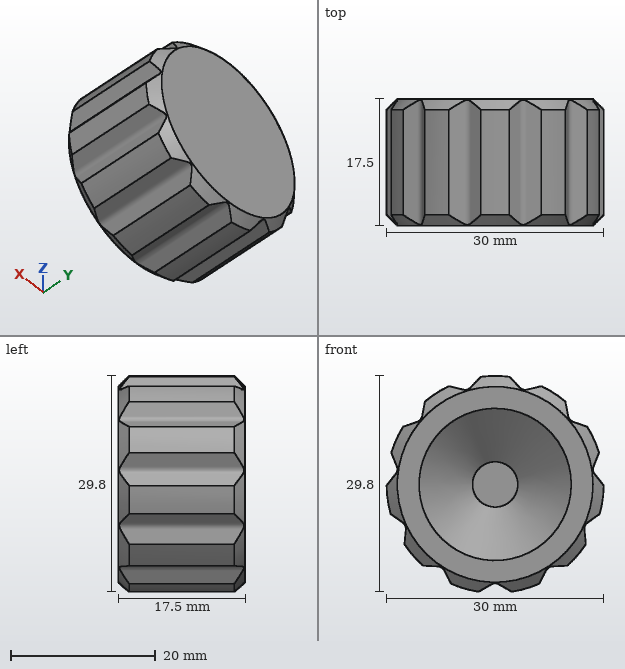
import cadquery as cq
import math

outer_radius = 15.0
length = 17.5
edge_chamfer = 1.5

groove_count = 11
groove_apex_distance = outer_radius - edge_chamfer
groove_root_radius = 1.0
groove_flank_angle = 30.0
first_groove_angle = -90.0
groove_clearance = 1.0

recess_mouth_radius = 10.5
hole_radius = 3.125
recess_depth = recess_mouth_radius - hole_radius
hole_floor_depth = 14.0


def make_body():
    """Cylinder from Y = 0 to Y = length, chamfered at both ends."""
    body = cq.Workplane("XZ").circle(outer_radius).extrude(-length)
    return body.faces("<Y or >Y").edges().chamfer(edge_chamfer)


def make_groove(angle):
    """Cutter for one groove at the given angle in the XZ plane."""
    slope = math.radians(groove_flank_angle)
    root_distance = groove_apex_distance + groove_root_radius * (1 / math.cos(slope) - 1)
    tangent_distance = root_distance + groove_root_radius * (1 - math.cos(slope))
    tangent_half_width = groove_root_radius * math.sin(slope)
    top_distance = outer_radius + groove_clearance
    top_half_width = (top_distance - groove_apex_distance) / math.tan(slope)
    cutter = (
        cq.Workplane("XZ")
        .moveTo(top_distance, -top_half_width)
        .lineTo(tangent_distance, -tangent_half_width)
        .threePointArc((root_distance, 0), (tangent_distance, tangent_half_width))
        .lineTo(top_distance, top_half_width)
        .close()
        .extrude(-length)
    )
    return cutter.rotate((0, 0, 0), (0, -1, 0), angle)


def make_recess():
    """Cone and hole together, as one profile revolved about the Y axis."""
    return (
        cq.Workplane("XY")
        .polyline([
            (0, 0),
            (recess_mouth_radius, 0),
            (hole_radius, recess_depth),
            (hole_radius, hole_floor_depth),
            (0, hole_floor_depth),
        ])
        .close()
        .revolve(360, (0, 0, 0), (0, 1, 0))
    )


result = make_body().cut(make_recess())
for index in range(groove_count):
    groove_angle = first_groove_angle + index * 360 / groove_count
    result = result.cut(make_groove(groove_angle))